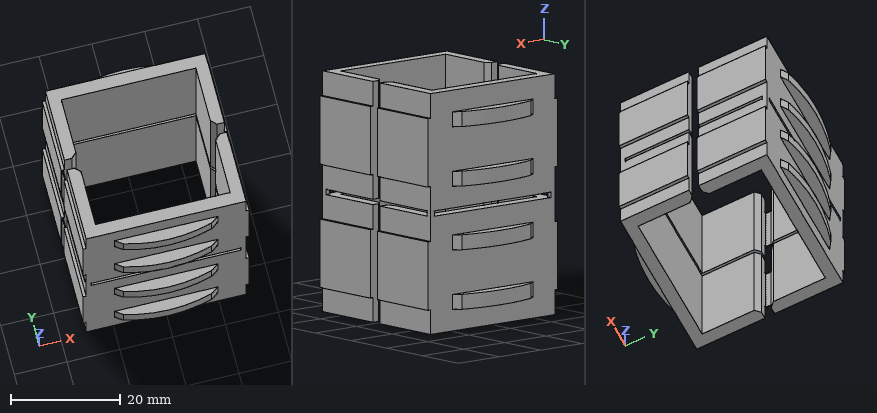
import cadquery as cq

height = 45.0
tube_width = 30.3
cavity_width = 25.45

gap_width = 2.0
gap_chamfer = 1.0

cut_height = 1.0
cut_length = 28.35

section_center = (height + cut_height) / 4

overall_length = 31.5
panel_height = 12.8

web_thickness = 0.2
web_recess = 0.2

overall_width = 34.7
rib_rise = (overall_width - tube_width) / 2
rib_height = 2.8
rib_end_rise = 1.0
rib_half_length = 9.8
rib_crown_half_length = 8.35
rib_spacing = 11.1


def centered_box(length, width, tall, center=(0, 0, 0)):
    return cq.Workplane("XY").box(length, width, tall).translate(center)


def make_panels(z):
    """Panels on both X walls at height z."""
    return centered_box(overall_length, tube_width, panel_height, (0, 0, z))


def make_web(z):
    """Thin web across the gap in the -X wall at height z."""
    x = -overall_length / 2 + web_recess + web_thickness / 2
    return centered_box(web_thickness, gap_width, panel_height, (x, 0, z))


def make_gap_cutter():
    """Gap along X, flared by the chamfers where it meets the cavity."""
    end_x = overall_length / 2
    inner_x = cavity_width / 2
    straight_x = inner_x + gap_chamfer
    narrow_y = gap_width / 2
    wide_y = narrow_y + gap_chamfer
    return (
        cq.Workplane("XY")
        .workplane(offset=-height / 2)
        .moveTo(-end_x, narrow_y)
        .lineTo(-straight_x, narrow_y)
        .lineTo(-inner_x, wide_y)
        .lineTo(inner_x, wide_y)
        .lineTo(straight_x, narrow_y)
        .lineTo(end_x, narrow_y)
        .lineTo(end_x, -narrow_y)
        .lineTo(straight_x, -narrow_y)
        .lineTo(inner_x, -wide_y)
        .lineTo(-inner_x, -wide_y)
        .lineTo(-straight_x, -narrow_y)
        .lineTo(-end_x, -narrow_y)
        .close()
        .extrude(height)
    )


def make_rib(side, z):
    """Rib with a bowed crown and bevelled ends on the +Y (1) or -Y (-1) wall."""
    base_y = side * tube_width / 2
    knee_y = base_y + side * rib_end_rise
    crown_y = base_y + side * rib_rise
    return (
        cq.Workplane("XY")
        .workplane(offset=z - rib_height / 2)
        .moveTo(-rib_half_length, base_y)
        .lineTo(-rib_crown_half_length, knee_y)
        .threePointArc((0, crown_y), (rib_crown_half_length, knee_y))
        .lineTo(rib_half_length, base_y)
        .close()
        .extrude(rib_height)
    )


section_heights = (-section_center, section_center)

body = centered_box(tube_width, tube_width, height)
for section_z in section_heights:
    body = body.union(make_panels(section_z))

body = body.cut(centered_box(cavity_width, cavity_width, height))
body = body.cut(make_gap_cutter())
body = body.cut(centered_box(cut_length, tube_width, cut_height))
body = body.cut(centered_box(tube_width, cut_length, cut_height))

for section_z in section_heights:
    body = body.union(make_web(section_z))
    for rib_z in (section_z - rib_spacing / 2, section_z + rib_spacing / 2):
        for side in (-1, 1):
            body = body.union(make_rib(side, rib_z))

result = body